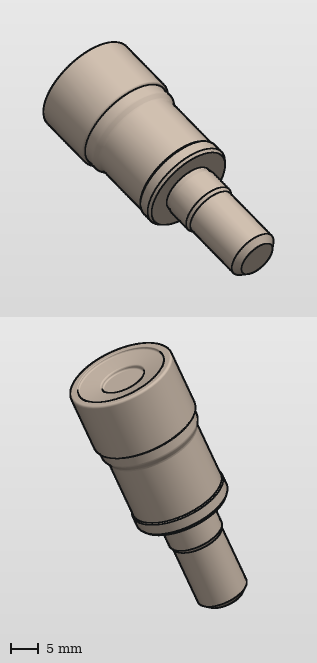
import cadquery as cq
import math

total_length = 49.95

cap_length = 11.8
cap_radius = 10.05
cap_edge_fillet = 0.45
mouth_radius = 8.45
mouth_depth = 0.45
mouth_fillet = 0.15
mouth_root_fillet = 0.3
dish_depth = 1.0
pocket_radius = 4.15
pocket_depth = 1.7
pocket_fillet = 0.3

collar_radius = 9.5
body_radius = 8.8
collar_cone_start = 13.95
collar_cone_angle = 30.0
collar_blend_radius = 0.85
band_radius = 9.0
band_ramp_start = 27.0
band_ramp_length = 0.3
band_end = 30.0
band_chamfer_length = 0.6
band_chamfer_height = 0.45
neck_radius = 5.05
land_ramp_start = 30.45
land_start = 31.25
land_radius = 5.25
land_end = 35.9
shank_start = 36.65
shank_radius = 4.87
tip_chamfer = 1.25

X_AXIS = ((0, 0, 0), (1, 0, 0))


def edges_at(body, x, radius):
    """Circular edges of a revolved body at one axial position and radius."""
    reach = 0.025
    corner_low = (x - reach, -radius - reach, -radius - reach)
    corner_high = (x + reach, radius + reach, radius + reach)
    box = cq.selectors.BoxSelector(corner_low, corner_high, boundingbox=True)
    found = [e for e in body.edges(box).vals() if abs(e.radius() - radius) < reach]
    return body.newObject(found)


def make_cap():
    profile = [
        (0, cap_radius),
        (cap_length, cap_radius),
        (cap_length, 0),
        (pocket_depth, 0),
        (pocket_depth, pocket_radius),
        (dish_depth, pocket_radius),
        (mouth_depth, mouth_radius),
        (0, mouth_radius),
    ]
    cap = cq.Workplane("XY").polyline(profile).close().revolve(360, *X_AXIS)
    rounds = [
        (0, cap_radius, cap_edge_fillet),
        (cap_length, cap_radius, cap_edge_fillet),
        (0, mouth_radius, mouth_fillet),
        (mouth_depth, mouth_radius, mouth_root_fillet),
        (dish_depth, pocket_radius, pocket_fillet),
        (pocket_depth, pocket_radius, pocket_fillet),
    ]
    for x, radius, fillet in rounds:
        cap = edges_at(cap, x, radius).fillet(fillet)
    return cap


def make_stem():
    cone_length = (collar_radius - body_radius) / math.tan(math.radians(collar_cone_angle))
    collar_cone_end = collar_cone_start + cone_length
    profile = [
        (cap_length, 0),
        (cap_length, collar_radius),
        (collar_cone_start, collar_radius),
        (collar_cone_end, body_radius),
        (band_ramp_start, body_radius),
        (band_ramp_start + band_ramp_length, band_radius),
        (band_end - band_chamfer_length, band_radius),
        (band_end, band_radius - band_chamfer_height),
        (band_end, neck_radius),
        (land_ramp_start, neck_radius),
        (land_start, land_radius),
        (land_end, land_radius),
        (shank_start, shank_radius),
        (total_length - tip_chamfer, shank_radius),
        (total_length, shank_radius - tip_chamfer),
        (total_length, 0),
    ]
    stem = cq.Workplane("XY").polyline(profile).close().revolve(360, *X_AXIS)
    stem = edges_at(stem, collar_cone_start, collar_radius).fillet(collar_blend_radius)
    return edges_at(stem, collar_cone_end, body_radius).fillet(collar_blend_radius)


cap = make_cap()
stem = make_stem()

result = cq.Compound.makeCompound([cap.val(), stem.val()])